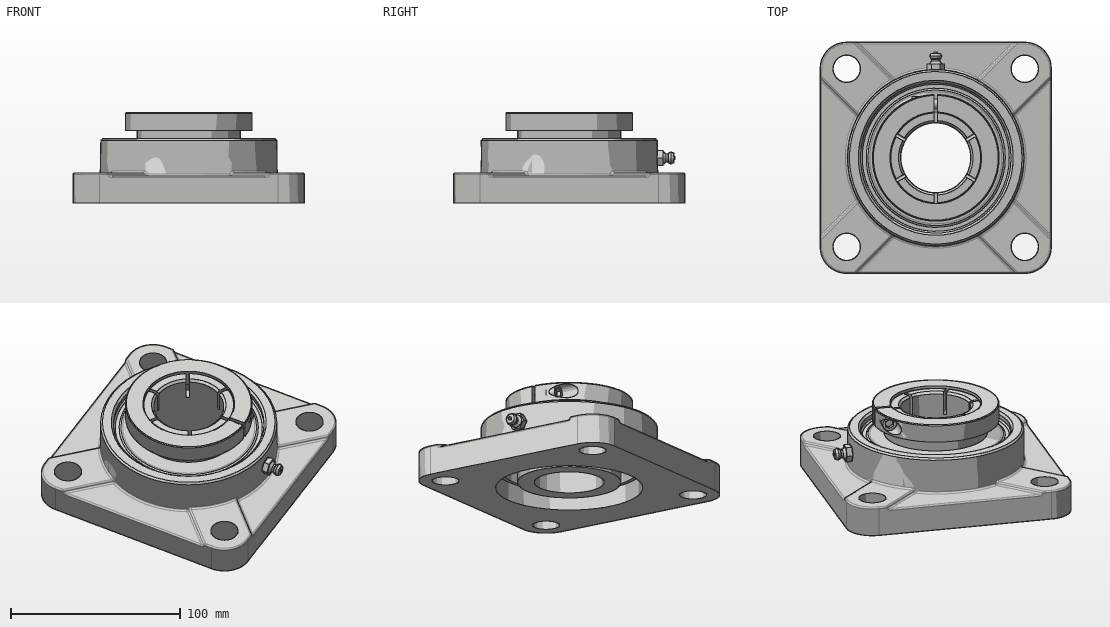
import cadquery as cq
import math

FLANGE_SIDE = 136.5
BOLT_SPACING = 105.1
BOLT_HOLE_DIAMETER = 16.0
CORNER_RADIUS = (FLANGE_SIDE - BOLT_SPACING) / 2
PLATE_TOP = 16.1
PAD_TOP = 17.9
PAD_HALF_WIDTH = 14.7
PAD_ROUND = 1.1
EDGE_ROUND = 1.0
FOOT_FILLET = 1.1

HUB_TOP = 38.1
HUB_FOOT_RADIUS = 52.3
HUB_TOP_RADIUS = 52.0
HUB_CHAMFER = 1.1

RECESS_DIAMETER = 88.9
RECESS_MOUTH_DIAMETER = 91.5
RECESS_DEPTH = 3.8
SEAT_DIAMETER = 86.8

SEAT_CHAMFER = (RECESS_DIAMETER - SEAT_DIAMETER) / 2
OUTER_RING_TOP = HUB_TOP - RECESS_DEPTH - SEAT_CHAMFER
BEARING_CENTRE = 22.2
OUTER_RING_BOTTOM = 2 * BEARING_CENTRE - OUTER_RING_TOP

SEAL_DIAMETER = 82.2
SEAL_RIM_DIAMETER = 80.0
SEAL_CONE_DIAMETER = 78.0
SEAL_RIM_RISE = 0.5
SEAL_CONE_RISE = 0.8
SEAL_THICKNESS = 1.4

BORE_DIAMETER = 41.2
BORE_CHAMFER = 1.4
NECK_DIAMETER = 61.0
SLEEVE_DIAMETER = 54.0
SLEEVE_CHAMFER = 0.5
INNER_RING_BOTTOM = 3.4

COLLAR_DIAMETER = 74.8
COLLAR_BOTTOM = 42.9
COLLAR_TOP = 53.6
COLLAR_CHAMFER = 0.5
SLEEVE_RECESS = 1.4
SLEEVE_TOP = COLLAR_TOP - SLEEVE_RECESS

SLIT_WIDTH = 1.9
SLIT_COUNT = 6
SLIT_BOTTOM = 38.2

SCREW_OFFSET = 31.8
SCREW_HEIGHT = (COLLAR_BOTTOM + COLLAR_TOP) / 2
SCREW_HEAD_DIAMETER = 8.5
SCREW_HEAD_LENGTH = 6.0
SCREW_HEAD_END = -13.9
SCREW_HEAD_FLOOR = SCREW_HEAD_END + SCREW_HEAD_LENGTH
SCREW_SHANK_DIAMETER = 6.0
SCREW_SHANK_END = 10.9
SOCKET_CORNER_DIAMETER = 5.7
SOCKET_DEPTH = 2.7

NIPPLE_HEIGHT = 26.8
NIPPLE_HEX_CORNERS = 10.4
NIPPLE_HEX_START = 51.7
NIPPLE_HEX_END = 55.4
NIPPLE_SHANK_DIAMETER = 6.0
NIPPLE_SHANK_LENGTH = 4.1
NIPPLE_FLARE_DIAMETER = 7.6
NIPPLE_NECK_DIAMETER = 4.9
NIPPLE_NECK_START = 57.0
NIPPLE_NECK_END = 58.1
NIPPLE_HEAD_DIAMETER = 5.7
NIPPLE_RIDGE_DIAMETER = 7.1
NIPPLE_RIDGE = 60.0
NIPPLE_HEAD_START = 58.5
NIPPLE_HEAD_END = 61.7
NIPPLE_TIP_DIAMETER = 1.9
NIPPLE_TIP_END = 62.4


def disc(diameter, bottom, top):
    return cq.Workplane("XY").workplane(offset=bottom).circle(diameter / 2).extrude(top - bottom)


def revolve_about_z(points):
    """Turn a closed (radius, height) outline about the Z axis."""
    return cq.Workplane("XZ").polyline(points).close().revolve(360, (0, 0), (0, 1))


def make_pad_bar():
    """A bar across the flange whose flanks run down to the plate in S-shaped curves."""
    step = PAD_TOP - PLATE_TOP
    half_height = PLATE_TOP + step / 2
    arc_angle = math.acos(1 - step / 2 / PAD_ROUND)
    arc_width = PAD_ROUND * math.sin(arc_angle)
    mid_width = PAD_ROUND * math.sin(arc_angle / 2)
    mid_drop = PAD_ROUND * (1 - math.cos(arc_angle / 2))
    top_edge = PAD_HALF_WIDTH - arc_width
    foot_edge = PAD_HALF_WIDTH + arc_width
    return (
        cq.Workplane("YZ")
        .moveTo(-foot_edge, 0)
        .lineTo(foot_edge, 0)
        .lineTo(foot_edge, PLATE_TOP)
        .threePointArc((foot_edge - mid_width, PLATE_TOP + mid_drop), (PAD_HALF_WIDTH, half_height))
        .threePointArc((top_edge + mid_width, PAD_TOP - mid_drop), (top_edge, PAD_TOP))
        .lineTo(-top_edge, PAD_TOP)
        .threePointArc((-top_edge - mid_width, PAD_TOP - mid_drop), (-PAD_HALF_WIDTH, half_height))
        .threePointArc((mid_width - foot_edge, PLATE_TOP + mid_drop), (-foot_edge, PLATE_TOP))
        .close()
        .extrude(FLANGE_SIDE, both=True)
    )


def rounded_block(side, corner_radius):
    block = cq.Workplane("XY").rect(side, side).extrude(PAD_TOP)
    return block.edges("|Z").fillet(corner_radius)


def make_flange():
    bar = make_pad_bar()
    flange = cq.Workplane("XY").rect(FLANGE_SIDE, FLANGE_SIDE).extrude(PLATE_TOP)
    for angle in (45, 135):
        flange = flange.union(bar.rotate((0, 0, 0), (0, 0, 1), angle))
    flange = flange.intersect(rounded_block(FLANGE_SIDE, CORNER_RADIUS))
    core = rounded_block(FLANGE_SIDE - EDGE_ROUND, CORNER_RADIUS - EDGE_ROUND / 2).val()
    rim = [
        edge
        for edge in flange.edges("not |Z").edges("not <Z").vals()
        if not any(core.isInside(edge.positionAt(t)) for t in (0, 0.5, 1))
    ]
    return flange.newObject(rim).fillet(EDGE_ROUND)


def make_hub():
    return revolve_about_z(
        [
            (0, 0),
            (HUB_FOOT_RADIUS, 0),
            (HUB_FOOT_RADIUS, PLATE_TOP),
            (HUB_TOP_RADIUS, HUB_TOP - HUB_CHAMFER),
            (HUB_TOP_RADIUS - HUB_CHAMFER, HUB_TOP),
            (0, HUB_TOP),
        ]
    )


def round_hub_foot(housing):
    """Fillet the ring of edges where the hub rises from the plate and the pads."""
    foot = []
    for edge in housing.edges().vals():
        middle = edge.positionAt(0.5)
        off_hub = abs(math.hypot(middle.x, middle.y) - HUB_FOOT_RADIUS)
        if off_hub < FOOT_FILLET / 2 and PLATE_TOP - FOOT_FILLET < middle.z < PAD_TOP + FOOT_FILLET:
            foot.append(edge)
    return housing.newObject(foot).fillet(FOOT_FILLET)


def make_housing_bore():
    mouth_chamfer = (RECESS_MOUTH_DIAMETER - RECESS_DIAMETER) / 2
    return revolve_about_z(
        [
            (0, 0),
            (SEAT_DIAMETER / 2, 0),
            (SEAT_DIAMETER / 2, OUTER_RING_TOP),
            (RECESS_DIAMETER / 2, HUB_TOP - RECESS_DEPTH),
            (RECESS_DIAMETER / 2, HUB_TOP - mouth_chamfer),
            (RECESS_MOUTH_DIAMETER / 2, HUB_TOP),
            (0, HUB_TOP),
        ]
    )


def make_housing(nipple):
    bolt_holes = (
        cq.Workplane("XY")
        .rect(BOLT_SPACING, BOLT_SPACING, forConstruction=True)
        .vertices()
        .circle(BOLT_HOLE_DIAMETER / 2)
        .extrude(PAD_TOP)
    )
    housing = round_hub_foot(make_flange().union(make_hub()))
    return housing.cut(bolt_holes).cut(make_housing_bore()).cut(nipple)


def make_outer_ring():
    ring = disc(SEAT_DIAMETER, OUTER_RING_BOTTOM, OUTER_RING_TOP)
    return ring.cut(disc(SEAL_DIAMETER, OUTER_RING_BOTTOM, OUTER_RING_TOP))


def make_seal():
    bottom = OUTER_RING_TOP - SEAL_THICKNESS
    rim_top = OUTER_RING_TOP + SEAL_RIM_RISE
    return revolve_about_z(
        [
            (NECK_DIAMETER / 2, bottom),
            (SEAL_DIAMETER / 2, bottom),
            (SEAL_DIAMETER / 2, OUTER_RING_TOP),
            (SEAL_RIM_DIAMETER / 2, rim_top),
            (SEAL_CONE_DIAMETER / 2, rim_top),
            (NECK_DIAMETER / 2, rim_top + SEAL_CONE_RISE),
        ]
    )


def make_sleeve_slits():
    """Six round-ended slits that divide the sleeve into fingers."""
    round_centre = SLIT_BOTTOM + SLIT_WIDTH / 2
    reach = SLEEVE_DIAMETER / 2
    straight = (
        cq.Workplane("XY")
        .workplane(offset=round_centre)
        .rect(reach, SLIT_WIDTH)
        .extrude(SLEEVE_TOP - round_centre)
        .translate((reach / 2, 0, 0))
    )
    rounded_end = cq.Workplane("YZ").center(0, round_centre).circle(SLIT_WIDTH / 2).extrude(reach)
    slit = straight.union(rounded_end)
    slits = cq.Workplane("XY")
    for index in range(SLIT_COUNT):
        angle = 90 + index * 360 / SLIT_COUNT
        slits = slits.union(slit.rotate((0, 0, 0), (0, 0, 1), angle))
    return slits


def make_inner_ring():
    ring = revolve_about_z(
        [
            (BORE_DIAMETER / 2, INNER_RING_BOTTOM),
            (NECK_DIAMETER / 2, INNER_RING_BOTTOM),
            (NECK_DIAMETER / 2, COLLAR_BOTTOM),
            (SLEEVE_DIAMETER / 2, COLLAR_BOTTOM),
            (SLEEVE_DIAMETER / 2, SLEEVE_TOP - SLEEVE_CHAMFER),
            (SLEEVE_DIAMETER / 2 - SLEEVE_CHAMFER, SLEEVE_TOP),
            (BORE_DIAMETER / 2 + BORE_CHAMFER, SLEEVE_TOP),
            (BORE_DIAMETER / 2, SLEEVE_TOP - BORE_CHAMFER),
        ]
    )
    return ring.cut(make_sleeve_slits())


def screw_cylinder(diameter, start, end):
    return (
        cq.Workplane("YZ")
        .workplane(offset=start)
        .center(SCREW_OFFSET, SCREW_HEIGHT)
        .circle(diameter / 2)
        .extrude(end - start)
    )


def make_collar():
    collar = disc(COLLAR_DIAMETER, COLLAR_BOTTOM, COLLAR_TOP)
    collar = collar.faces(">Z").chamfer(COLLAR_CHAMFER)
    slit = cq.Workplane("XY").box(
        SLIT_WIDTH, COLLAR_DIAMETER, COLLAR_TOP, centered=(True, False, False)
    )
    head_pocket = screw_cylinder(SCREW_HEAD_DIAMETER, -COLLAR_DIAMETER / 2, SCREW_HEAD_FLOOR)
    shank_hole = screw_cylinder(SCREW_SHANK_DIAMETER, SCREW_HEAD_FLOOR, SCREW_SHANK_END)
    collar = collar.cut(disc(SLEEVE_DIAMETER, COLLAR_BOTTOM, COLLAR_TOP))
    return collar.cut(slit).cut(head_pocket).cut(shank_hole)


def make_screw():
    head = screw_cylinder(SCREW_HEAD_DIAMETER, SCREW_HEAD_END, SCREW_HEAD_FLOOR)
    shank = screw_cylinder(SCREW_SHANK_DIAMETER, SCREW_HEAD_FLOOR, SCREW_SHANK_END)
    socket = (
        cq.Workplane("YZ")
        .workplane(offset=SCREW_HEAD_END)
        .center(SCREW_OFFSET, SCREW_HEIGHT)
        .transformed(rotate=(0, 0, 90))
        .polygon(6, SOCKET_CORNER_DIAMETER)
        .extrude(SOCKET_DEPTH)
    )
    return head.union(shank).cut(socket)


def make_nipple():
    shank_end = NIPPLE_HEX_START - NIPPLE_SHANK_LENGTH
    outline = [
        (0, shank_end),
        (NIPPLE_SHANK_DIAMETER / 2, shank_end),
        (NIPPLE_SHANK_DIAMETER / 2, NIPPLE_HEX_START),
        (NIPPLE_FLARE_DIAMETER / 2, NIPPLE_HEX_START),
        (NIPPLE_FLARE_DIAMETER / 2, NIPPLE_HEX_END),
        (NIPPLE_NECK_DIAMETER / 2, NIPPLE_NECK_START),
        (NIPPLE_NECK_DIAMETER / 2, NIPPLE_NECK_END),
        (NIPPLE_HEAD_DIAMETER / 2, NIPPLE_HEAD_START),
        (NIPPLE_RIDGE_DIAMETER / 2, NIPPLE_RIDGE),
        (NIPPLE_HEAD_DIAMETER / 2, NIPPLE_HEAD_END),
        (NIPPLE_TIP_DIAMETER / 2, NIPPLE_HEAD_END),
        (NIPPLE_TIP_DIAMETER / 2, NIPPLE_TIP_END),
        (0, NIPPLE_TIP_END),
    ]
    turned = cq.Workplane("XY").polyline(outline).close().revolve(360, (0, 0), (0, 1))
    hexagon = (
        cq.Workplane("XZ")
        .workplane(offset=-NIPPLE_HEX_END)
        .polygon(6, NIPPLE_HEX_CORNERS)
        .extrude(NIPPLE_HEX_END - NIPPLE_HEX_START)
    )
    return turned.union(hexagon).translate((0, 0, NIPPLE_HEIGHT))


nipple = make_nipple()
housing = make_housing(nipple)
outer_ring = make_outer_ring()
seal = make_seal()
inner_ring = make_inner_ring()
collar = make_collar()
screw = make_screw()

bodies = [housing, outer_ring, seal, inner_ring, collar, screw, nipple]
result = cq.Compound.makeCompound([body.val() for body in bodies])